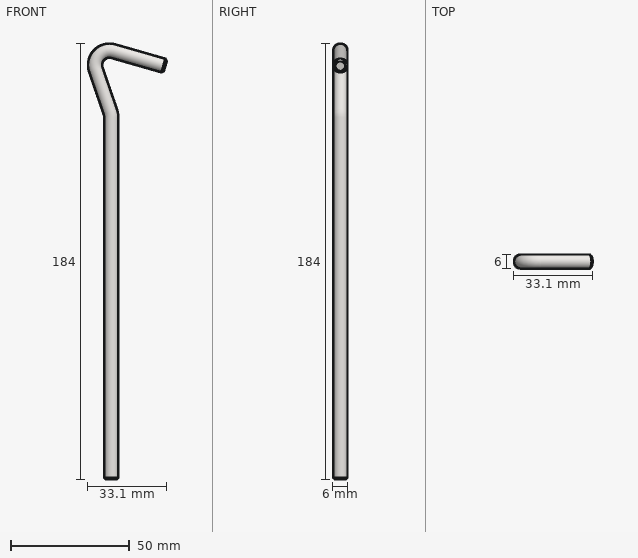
import cadquery as cq
import math

overall_height = 184.0
rod_diameter = 6.0
bend_radius = rod_diameter
end_chamfer = 1.0
arm_length = 19.0
tip_length = 22.8
arm_lean = 19.0
tip_droop = 16.0

rod_radius = rod_diameter / 2
lean = math.radians(arm_lean)
droop = math.radians(tip_droop)


def along(start, angle, distance):
    """Point at a distance from start, in a direction measured from +X toward +Z."""
    return (start[0] + distance * math.cos(angle), start[1] + distance * math.sin(angle))


arm_heading = math.pi / 2 + lean
hook_rise = 2 * bend_radius * math.sin(lean) + arm_length * math.cos(lean) + bend_radius + rod_radius
shank_length = overall_height - hook_rise

lower_center = (-bend_radius, shank_length)
lower_mid = along(lower_center, lean / 2, bend_radius)
arm_start = along(lower_center, lean, bend_radius)
arm_end = along(arm_start, arm_heading, arm_length)

upper_center = along(arm_end, lean, bend_radius)
upper_start_angle = math.pi + lean
upper_end_angle = math.pi / 2 - droop
upper_mid = along(upper_center, (upper_start_angle + upper_end_angle) / 2, bend_radius)
tip_start = along(upper_center, upper_end_angle, bend_radius)
tip_end = along(tip_start, -droop, tip_length)

centreline = (
    cq.Workplane("XZ")
    .moveTo(0, 0)
    .lineTo(0, shank_length)
    .threePointArc(lower_mid, arm_start)
    .lineTo(*arm_end)
    .threePointArc(upper_mid, tip_start)
    .lineTo(*tip_end)
)

rod = cq.Workplane("XY").circle(rod_radius).sweep(centreline)

rod = rod.faces("<Z").chamfer(end_chamfer)
result = rod.faces(">X").chamfer(end_chamfer)